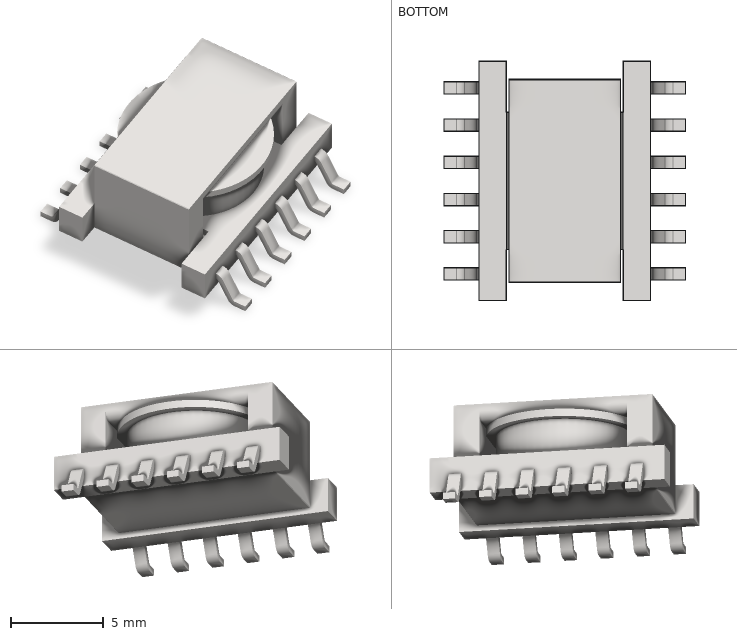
import cadquery as cq
import math

overall_length = 13.0
overall_height = 6.25

core_width = 6.0
core_depth = 10.95
core_height = 5.02
core_bottom = overall_height - core_height
yoke_thickness = 0.4
window_depth = 8.12
window_top = overall_height - yoke_thickness
window_bottom = core_bottom + yoke_thickness
core_chamfer = 0.04
center_leg_diameter = 4.25

bar_inner_face = 3.15
bar_outer_face = 4.63
bar_width = bar_outer_face - bar_inner_face
bar_depth = 12.9
bar_bottom = 0.96
bar_top = 2.89
plate_thickness = 0.45
plate_depth = 7.4
winding_diameter = 7.4
flange_diameter = 8.45
flange_thickness = 0.42
flange_top = 5.38

bead_radius = 0.45

leads_per_side = 6
lead_pitch = 2.0
lead_width = 0.68
lead_thickness = 0.36
lead_top = 1.92
lead_angle = math.radians(62)
inner_radius = 0.14
outer_radius = inner_radius + lead_thickness
foot_bend_x = 5.84
lead_tip_x = overall_length / 2
lead_embed = 0.26


def block(width, depth, bottom, top, center_x=0):
    """Rectangular block centred on Y = 0 between two heights."""
    return (
        cq.Workplane("XY", origin=(center_x, 0, bottom))
        .rect(width, depth)
        .extrude(top - bottom)
    )


def cylinder(diameter, bottom, top):
    """Upright cylinder on the Z axis between two heights."""
    return cq.Workplane("XY").workplane(offset=bottom).circle(diameter / 2).extrude(top - bottom)


def make_core():
    """Closed rectangular core with a through window in X and a round centre leg."""
    body = block(core_width, core_depth, core_bottom, overall_height)
    body = body.edges("|X").chamfer(core_chamfer)
    window = block(core_width, window_depth, window_bottom, window_top)
    leg = cylinder(center_leg_diameter, window_bottom, window_top)
    return body.cut(window).union(leg)


def make_bead():
    """Filler between upper flange and core roof, its lower long edges rounded."""
    bead = block(core_width, window_depth, flange_top, window_top)
    return bead.edges("|Y and <Z").fillet(bead_radius)


def make_bobbin():
    """Lead bars joined by a plate, with the winding and the round upper flange."""
    bobbin = block(2 * bar_inner_face, plate_depth, bar_top - plate_thickness, bar_top)
    for side in (-1, 1):
        bar_center = side * (bar_inner_face + bar_width / 2)
        bobbin = bobbin.union(block(bar_width, bar_depth, bar_bottom, bar_top, bar_center))
    flange_bottom = flange_top - flange_thickness
    winding = cylinder(winding_diameter, bar_top, flange_bottom)
    flange = cylinder(flange_diameter, flange_bottom, flange_top)
    return bobbin.union(winding).union(flange)


def make_lead():
    """Gull-wing lead on the +X side, centred on Y = 0."""
    bend_rise = lead_top - 2 * outer_radius
    radius_sum = outer_radius + inner_radius
    slope_run = (radius_sum + bend_rise * math.cos(lead_angle)) / math.sin(lead_angle)
    shoulder_x = foot_bend_x - slope_run

    def foot_point(radius, angle):
        return (foot_bend_x - radius * math.sin(angle), outer_radius - radius * math.cos(angle))

    def shoulder_point(radius, angle):
        center_z = lead_top - outer_radius
        return (shoulder_x + radius * math.sin(angle), center_z + radius * math.cos(angle))

    half_angle = lead_angle / 2
    root_x = bar_outer_face - lead_embed
    profile = (
        cq.Workplane("XZ", origin=(0, lead_width / 2, 0))
        .moveTo(lead_tip_x, 0)
        .lineTo(*foot_point(outer_radius, 0))
        .threePointArc(foot_point(outer_radius, half_angle), foot_point(outer_radius, lead_angle))
        .lineTo(*shoulder_point(inner_radius, lead_angle))
        .threePointArc(shoulder_point(inner_radius, half_angle), shoulder_point(inner_radius, 0))
        .lineTo(root_x, lead_top - lead_thickness)
        .lineTo(root_x, lead_top)
        .lineTo(*shoulder_point(outer_radius, 0))
        .threePointArc(shoulder_point(outer_radius, half_angle), shoulder_point(outer_radius, lead_angle))
        .lineTo(*foot_point(inner_radius, lead_angle))
        .threePointArc(foot_point(inner_radius, half_angle), foot_point(inner_radius, 0))
        .lineTo(lead_tip_x, lead_thickness)
        .close()
    )
    return profile.extrude(lead_width)


result = make_bobbin().union(make_core()).union(make_bead())

right_lead = make_lead()
left_lead = right_lead.mirror("YZ")
for index in range(leads_per_side):
    lead_y = (index - (leads_per_side - 1) / 2) * lead_pitch
    for lead in (left_lead, right_lead):
        result = result.union(lead.translate((0, lead_y, 0)))